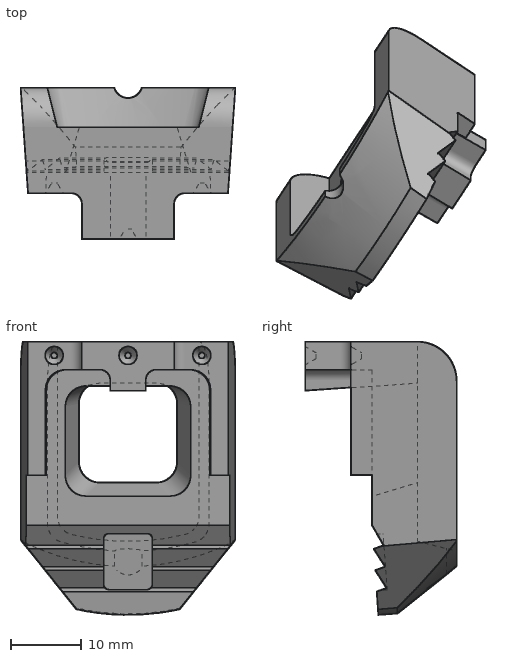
import cadquery as cq
import math

HEIGHT = 38.82
DEPTH = 21.5
BACK_WIDTH = 30.5
DRAFT = 4.0
DRAFT_SLOPE = math.tan(math.radians(DRAFT))
MARGIN = 3.9

LEG_FRONT_Y = 6.5
SEAT_Y = 9.47
LEG_BOTTOM_Z = 19.88
SEAT_BOTTOM_Z = 12.75
BACK_TOP_RADIUS = 5.63

TOOTH_COUNT = 3
TOOTH_PITCH = 3.03
FIRST_TIP_Y = 9.7
FIRST_TIP_Z = 9.4
TOOTH_DEPTH = 1.4
TOOTH_RISE = 0.5

TOE_TOP_Z = 10.7
TOE_CORNER_X = 7.25
TOE_CORNER_Z = 0.75
TOE_ARC_RADIUS = 33.4
TOE_FRONT_Y = 10.35
RAMP_BACK_Z = 6.9
RAMP_TOE_Y = 13.1
RAMP_TOE_Z = 0.2

CROSSBAR_HALF_WIDTH = 6.55
CROSSBAR_BOTTOM_Z = 34.82
STEM_HALF_WIDTH = 2.52
STEM_TIP_Z = 31.85
TONGUE_FILLET = 1.48

RECESS_MOUTH_HALF_WIDTH = 11.72
RECESS_FLOOR_HALF_WIDTH = 11.6
CORNER_RADIUS = 2.9

WINDOW_FRONT_HALF_WIDTH = 8.9
WINDOW_FRONT_BOTTOM_Z = 16.9
WINDOW_INSET = 1.95

CHANNEL_FLOOR_Y = DEPTH - BACK_TOP_RADIUS
CHANNEL_HALF_WIDTH = 10.05
CHANNEL_BOTTOM_Z = 10.5
CHANNEL_FLARE = 14.0
CHANNEL_FILLET = 2.8

GROOVE_RADIUS = 2.0
GROOVE_DEPTH = 1.48

DIMPLE_SPACING = 10.5
DIMPLE_Z = 36.85
DIMPLE_RADIUS = 1.3
DIMPLE_FLOOR_RADIUS = 0.43
DIMPLE_DEPTH = 1.48

LABEL_WIDTH = 6.9
LABEL_TOP_Z = 11.55
LABEL_BOTTOM_Z = 3.6
LABEL_RADIUS = 0.78
LABEL_BELOW_ROOTS = 0.05


def xz_plane(y):
    """Sketch plane facing +Y: local x is -X, local y is Z."""
    return cq.Workplane(cq.Plane(origin=(0, y, 0), xDir=(-1, 0, 0), normal=(0, 1, 0)))


def tooth_line_y(z):
    """Y of the sloping line through the tooth tips at height z."""
    return FIRST_TIP_Y + (FIRST_TIP_Z - z) * DRAFT_SLOPE


def window_roof_z(y):
    """The window roof and the stem underside share one plane that rises to the back."""
    return STEM_TIP_Z + y * DRAFT_SLOPE


def make_block():
    """Side profile with teeth, extruded across the width."""
    points = [
        (LEG_FRONT_Y, HEIGHT),
        (LEG_FRONT_Y, LEG_BOTTOM_Z),
        (SEAT_Y, LEG_BOTTOM_Z),
        (SEAT_Y, SEAT_BOTTOM_Z),
    ]
    for i in range(TOOTH_COUNT):
        tip_z = FIRST_TIP_Z - i * TOOTH_PITCH
        tip_y = tooth_line_y(tip_z)
        points.append((tip_y + TOOTH_DEPTH, tip_z + TOOTH_RISE))
        points.append((tip_y, tip_z))
    points.append((tooth_line_y(-MARGIN), -MARGIN))
    points.append((DEPTH, -MARGIN))
    points.append((DEPTH, HEIGHT))
    block = cq.Workplane("YZ").polyline(points).close().extrude(BACK_WIDTH / 2, both=True)
    return block.edges("|X and >Y and >Z").fillet(BACK_TOP_RADIUS)


def side_trim():
    """Plan trapezoid: both sides draw in towards the front."""
    back = BACK_WIDTH / 2
    front = back - DEPTH * DRAFT_SLOPE
    outline = [(-front, 0), (front, 0), (back, DEPTH), (-back, DEPTH)]
    base = cq.Workplane("XY").workplane(offset=-MARGIN)
    return base.polyline(outline).close().extrude(HEIGHT + 2 * MARGIN)


def toe_side_trim():
    """Front outline with the two slanted toe sides."""
    half = BACK_WIDTH / 2
    run = (half - TOE_CORNER_X) / (TOE_TOP_Z - TOE_CORNER_Z)
    low_x = TOE_CORNER_X - run * (TOE_CORNER_Z + MARGIN)
    outline = [
        (low_x, -MARGIN),
        (half, TOE_TOP_Z),
        (half, HEIGHT),
        (-half, HEIGHT),
        (-half, TOE_TOP_Z),
        (-low_x, -MARGIN),
    ]
    return xz_plane(0).polyline(outline).close().extrude(DEPTH)


def arched_outline(y, half_width, bottom_z, arc_radius, top_z):
    """Closed outline with straight sides, a flat top and a bottom that bulges downwards."""
    side_z = bottom_z + arc_radius - math.sqrt(arc_radius**2 - half_width**2)
    return (
        xz_plane(y)
        .moveTo(-half_width, top_z)
        .lineTo(-half_width, side_z)
        .threePointArc((0, bottom_z), (half_width, side_z))
        .lineTo(half_width, top_z)
        .close()
        .wire()
        .val()
    )


def toe_bottom_trim(z_at_back, slope):
    """Space above an arched underside that falls by slope per unit of travel towards the front."""
    outline = arched_outline(DEPTH, BACK_WIDTH / 2 + MARGIN, z_at_back, TOE_ARC_RADIUS, 2 * HEIGHT)
    sweep = cq.Vector(0, -DEPTH, -DEPTH * slope)
    return cq.Workplane(cq.Solid.extrudeLinear(outline, [], sweep))


def trim_toe(body):
    ramp_slope = (RAMP_BACK_Z - RAMP_TOE_Z) / (DEPTH - RAMP_TOE_Y)
    underside_back_z = (DEPTH - TOE_FRONT_Y) * DRAFT_SLOPE
    return (
        body.intersect(toe_side_trim())
        .intersect(toe_bottom_trim(RAMP_BACK_Z, ramp_slope))
        .intersect(toe_bottom_trim(underside_back_z, DRAFT_SLOPE))
    )


def rounded_rectangle(y, half_width, bottom_z, top_z):
    """Wire in the XZ plane at depth y, symmetric about X = 0."""
    height = top_z - bottom_z
    outline = xz_plane(y).center(0, bottom_z + height / 2).rect(2 * half_width, height).wire().val()
    return outline.fillet2D(CORNER_RADIUS, outline.Vertices())


def loft_between(front_wire, back_wire):
    return cq.Workplane(cq.Solid.makeLoft([front_wire, back_wire], True))


def make_recess():
    """The lower end lies in front of the seat, below the legs."""
    low_z = LEG_BOTTOM_Z - 2 * CORNER_RADIUS
    mouth = rounded_rectangle(LEG_FRONT_Y, RECESS_MOUTH_HALF_WIDTH, low_z, CROSSBAR_BOTTOM_Z)
    floor = rounded_rectangle(SEAT_Y, RECESS_FLOOR_HALF_WIDTH, low_z, CROSSBAR_BOTTOM_Z)
    return loft_between(mouth, floor)


def make_window():
    front = rounded_rectangle(SEAT_Y, WINDOW_FRONT_HALF_WIDTH, WINDOW_FRONT_BOTTOM_Z, window_roof_z(SEAT_Y))
    back = rounded_rectangle(
        CHANNEL_FLOOR_Y,
        WINDOW_FRONT_HALF_WIDTH - WINDOW_INSET,
        WINDOW_FRONT_BOTTOM_Z + WINDOW_INSET,
        window_roof_z(CHANNEL_FLOOR_Y),
    )
    return loft_between(front, back)


def make_crossbar():
    """Upper part of the tongue, flared by fillets where it meets the legs."""
    flare = CROSSBAR_HALF_WIDTH + TONGUE_FILLET
    flare_y = LEG_FRONT_Y - TONGUE_FILLET
    return (
        cq.Workplane("XY")
        .workplane(offset=CROSSBAR_BOTTOM_Z)
        .moveTo(-CROSSBAR_HALF_WIDTH, 0)
        .lineTo(CROSSBAR_HALF_WIDTH, 0)
        .lineTo(CROSSBAR_HALF_WIDTH, flare_y)
        .radiusArc((flare, LEG_FRONT_Y), TONGUE_FILLET)
        .lineTo(flare, SEAT_Y)
        .lineTo(-flare, SEAT_Y)
        .lineTo(-flare, LEG_FRONT_Y)
        .radiusArc((-CROSSBAR_HALF_WIDTH, flare_y), TONGUE_FILLET)
        .close()
        .extrude(HEIGHT - CROSSBAR_BOTTOM_Z)
    )


def make_stem():
    """Lower part of the tongue, filleted to the crossbar and cut along the window roof plane."""
    flare = STEM_HALF_WIDTH + TONGUE_FILLET
    flare_z = CROSSBAR_BOTTOM_Z - TONGUE_FILLET
    stem = (
        xz_plane(0)
        .moveTo(-STEM_HALF_WIDTH, STEM_TIP_Z)
        .lineTo(STEM_HALF_WIDTH, STEM_TIP_Z)
        .lineTo(STEM_HALF_WIDTH, flare_z)
        .radiusArc((flare, CROSSBAR_BOTTOM_Z), TONGUE_FILLET)
        .lineTo(-flare, CROSSBAR_BOTTOM_Z)
        .radiusArc((-STEM_HALF_WIDTH, flare_z), TONGUE_FILLET)
        .close()
        .extrude(SEAT_Y)
    )
    underside = [(0, STEM_TIP_Z), (SEAT_Y, window_roof_z(SEAT_Y)), (SEAT_Y, STEM_TIP_Z)]
    wedge = cq.Workplane("YZ").polyline(underside).close().extrude(STEM_HALF_WIDTH, both=True)
    return stem.cut(wedge)


def make_channel():
    """Open-topped channel with an arched bottom, flaring evenly towards the back."""
    flare = BACK_TOP_RADIUS * math.tan(math.radians(CHANNEL_FLARE))
    top_z = HEIGHT + MARGIN
    floor = arched_outline(CHANNEL_FLOOR_Y, CHANNEL_HALF_WIDTH, CHANNEL_BOTTOM_Z, TOE_ARC_RADIUS, top_z)
    mouth = arched_outline(
        DEPTH, CHANNEL_HALF_WIDTH + flare, CHANNEL_BOTTOM_Z - flare, TOE_ARC_RADIUS + flare, top_z
    )
    channel = loft_between(floor, mouth)
    inset = BACK_TOP_RADIUS / 4
    lower_corners = cq.selectors.BoxSelector(
        (-BACK_WIDTH, CHANNEL_FLOOR_Y + inset, 0), (BACK_WIDTH, DEPTH - inset, HEIGHT / 2)
    )
    return channel.edges(lower_corners).fillet(CHANNEL_FILLET)


def make_groove():
    centre_y = DEPTH - GROOVE_DEPTH + GROOVE_RADIUS
    return cq.Workplane("XY").center(0, centre_y).circle(GROOVE_RADIUS).extrude(HEIGHT / 2)


def make_dimple(x, face_y):
    cone = cq.Solid.makeCone(
        DIMPLE_RADIUS, DIMPLE_FLOOR_RADIUS, DIMPLE_DEPTH, cq.Vector(x, face_y, DIMPLE_Z), cq.Vector(0, 1, 0)
    )
    return cq.Workplane(cone)


def make_label_pocket():
    """Rounded pocket whose floor runs just behind the tooth roots."""
    height = LABEL_TOP_Z - LABEL_BOTTOM_Z
    pocket = (
        xz_plane(0)
        .center(0, LABEL_BOTTOM_Z + height / 2)
        .rect(LABEL_WIDTH, height)
        .extrude(DEPTH)
        .edges("|Y")
        .fillet(LABEL_RADIUS)
    )
    floor_offset = TOOTH_DEPTH + TOOTH_RISE * DRAFT_SLOPE + LABEL_BELOW_ROOTS
    floor = [
        (0, LABEL_BOTTOM_Z),
        (tooth_line_y(LABEL_BOTTOM_Z) + floor_offset, LABEL_BOTTOM_Z),
        (tooth_line_y(LABEL_TOP_Z) + floor_offset, LABEL_TOP_Z),
        (0, LABEL_TOP_Z),
    ]
    return pocket.intersect(cq.Workplane("YZ").polyline(floor).close().extrude(LABEL_WIDTH, both=True))


body = trim_toe(make_block().intersect(side_trim()))
body = body.cut(make_recess()).union(make_crossbar()).union(make_stem())
body = body.cut(make_window()).cut(make_channel()).cut(make_groove()).cut(make_label_pocket())
for dimple_x, dimple_face_y in ((-DIMPLE_SPACING, LEG_FRONT_Y), (0, 0), (DIMPLE_SPACING, LEG_FRONT_Y)):
    body = body.cut(make_dimple(dimple_x, dimple_face_y))

result = body